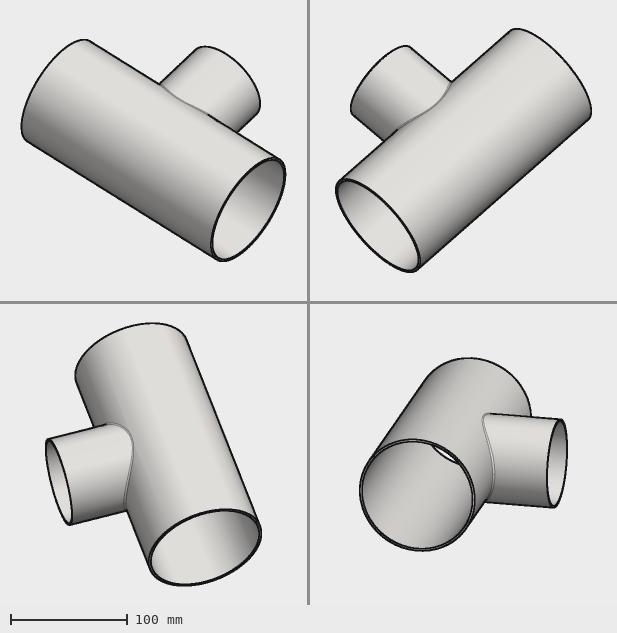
import cadquery as cq

run_length = 209.5
run_outer_diameter = 101.6
run_inner_diameter = 97.5

branch_outer_diameter = 76.3
branch_inner_diameter = 73.0
overall_depth = 149.2
branch_reach = overall_depth - run_outer_diameter / 2

weld_radius = 1.6


def run_cylinder(diameter):
    """Solid cylinder along X over the full length of the run."""
    return (
        cq.Workplane("YZ")
        .workplane(offset=-run_length / 2)
        .circle(diameter / 2)
        .extrude(run_length)
    )


def branch_cylinder(diameter):
    """Solid cylinder along +Y from the run axis to the branch end."""
    return cq.Workplane("XZ").circle(diameter / 2).extrude(-branch_reach)


def branch_seam_selector():
    """Box that holds the pipe junction but neither pipe's end edges."""
    half_width = branch_outer_diameter / 2 + weld_radius
    seam_top = (run_outer_diameter / 2 + branch_reach) / 2
    return cq.selectors.BoxSelector(
        (-half_width, 0, -half_width),
        (half_width, seam_top, half_width),
        boundingbox=True,
    )


body = run_cylinder(run_outer_diameter).union(branch_cylinder(branch_outer_diameter))
body = body.edges(branch_seam_selector()).fillet(weld_radius)

result = body.cut(run_cylinder(run_inner_diameter)).cut(branch_cylinder(branch_inner_diameter))